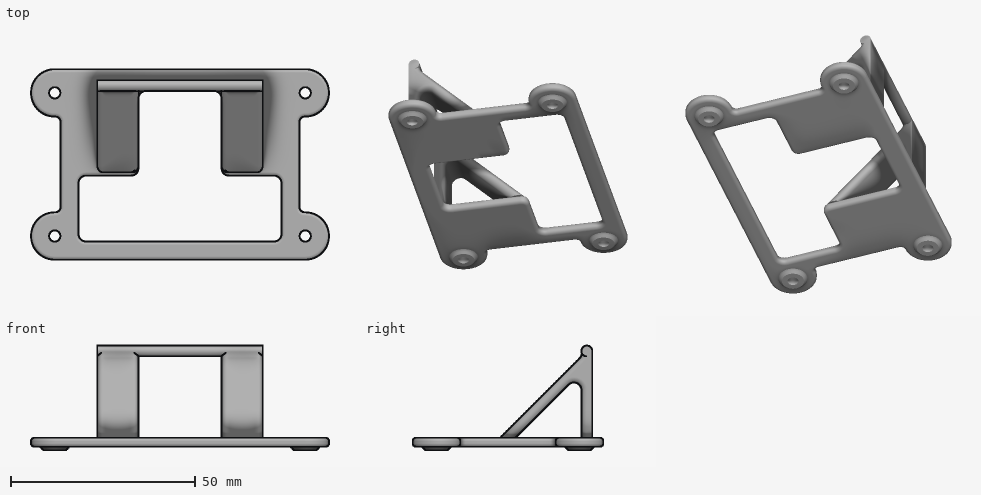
import cadquery as cq
import math

plate_length = 81.0
plate_width = 51.8
plate_thickness = 2.5
lug_radius = 6.5
waist_half_width = 32.5
waist_corner_radius = 1.4
edge_radius = 1.0

hole_diameter = 3.0
foot_height = 1.0
foot_top_radius = 4.0
foot_bottom_radius = foot_top_radius - foot_height
hole_x = plate_length / 2 - lug_radius
hole_y = plate_width / 2 - lug_radius

front_rim = 5.0
window_corner_radius = 2.0
shoulder_y = -3.1
stem_half_width = 11.25
window_half_width = 27.5
window_front_y = front_rim - plate_width / 2

stand_height = 25.0
stand_back_y = 22.9
bar_thickness = 3.0
support_width = 11.25
strut_angle = math.radians(45)
strut_edge_radius = 1.45
inner_corner_radius = 2.0

support_outer_x = stem_half_width + support_width
post_front_y = stand_back_y - bar_thickness
rail_radius = bar_thickness / 2
rail_y = stand_back_y - rail_radius
rail_z = plate_thickness + stand_height - rail_radius

strut_toe_y = shoulder_y + edge_radius
strut_heel_y = strut_toe_y + bar_thickness / math.sin(strut_angle)


def strut_height(foot_y, y):
    """Height at y of the sloping line that leaves the plate's top face at foot_y."""
    return plate_thickness + (y - foot_y) * math.tan(strut_angle)


def window():
    right_side = [
        (window_half_width, window_front_y),
        (window_half_width, shoulder_y),
        (stem_half_width, shoulder_y),
        (stem_half_width, post_front_y),
    ]
    left_side = [(-x, y) for x, y in reversed(right_side)]
    outline = cq.Workplane("XY").polyline(right_side + left_side).close()
    return outline.extrude(plate_thickness).edges("|Z").fillet(window_corner_radius)


def base_plate():
    waist = cq.Workplane("XY").rect(2 * waist_half_width, 2 * hole_y).extrude(plate_thickness)
    bars = (
        cq.Workplane("XY")
        .pushPoints([(0, hole_y), (0, -hole_y)])
        .slot2D(plate_length, 2 * lug_radius)
        .extrude(plate_thickness)
    )
    plate = waist.union(bars)
    for x in (-waist_half_width, waist_half_width):
        for y in (lug_radius - hole_y, hole_y - lug_radius):
            corner = cq.selectors.NearestToPointSelector((x, y, plate_thickness / 2))
            plate = plate.edges("|Z").edges(corner).fillet(waist_corner_radius)
    return plate.cut(window()).faces("<Z or >Z").edges().fillet(edge_radius)


def foot(x, y):
    down = cq.Vector(0, 0, -1)
    return cq.Solid.makeCone(foot_top_radius, foot_bottom_radius, foot_height, cq.Vector(x, y, 0), down)


def mounting_hole(x, y):
    through = foot_height + plate_thickness
    return cq.Solid.makeCylinder(hole_diameter / 2, through, cq.Vector(x, y, -foot_height))


def rail(start_x, length):
    return cq.Workplane("YZ", origin=(start_x, rail_y, rail_z)).circle(rail_radius).extrude(length)


def support(start_x):
    """Post and strut under a length of rail, rounded along the strut and the post's front."""
    crook = (post_front_y, strut_height(strut_heel_y, post_front_y))
    strut_top_y = rail_y - rail_radius / 2
    profile = [
        (stand_back_y, plate_thickness),
        (stand_back_y, rail_z),
        (rail_y, rail_z),
        (strut_top_y, strut_height(strut_toe_y, strut_top_y)),
        (strut_toe_y, plate_thickness),
        (strut_heel_y, plate_thickness),
        crook,
        (post_front_y, plate_thickness),
    ]
    body = cq.Workplane("YZ", origin=(start_x, 0, 0)).polyline(profile).close().extrude(support_width)
    body = body.union(rail(start_x, support_width))

    neck_y = rail_y - rail_radius
    neck = (neck_y, strut_height(strut_toe_y, neck_y))
    middle_x = start_x + support_width / 2
    for corner_y, corner_z in (crook, neck):
        corner = cq.selectors.NearestToPointSelector((middle_x, corner_y, corner_z))
        body = body.edges("|X").edges(corner).fillet(inner_corner_radius)

    strut_direction = cq.Vector(0, math.cos(strut_angle), math.sin(strut_angle))
    body = body.edges(cq.selectors.ParallelDirSelector(strut_direction)).fillet(strut_edge_radius)

    back_origin = (start_x, rail_y, plate_thickness)
    back_height = rail_z - plate_thickness
    back = cq.Workplane("XY", origin=back_origin).box(
        support_width, stand_back_y - rail_y, back_height, centered=False
    )
    return body.union(back).union(rail(start_x, support_width))


result = base_plate()
for x in (-hole_x, hole_x):
    for y in (-hole_y, hole_y):
        result = result.union(foot(x, y)).cut(mounting_hole(x, y))
result = (
    result.union(support(-support_outer_x))
    .union(support(stem_half_width))
    .union(rail(-support_outer_x, 2 * support_outer_x))
)